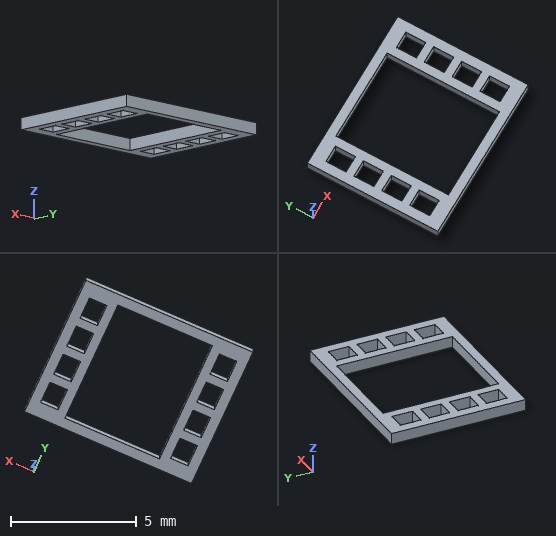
import cadquery as cq

length = 7.28
width = 5.97
thickness = 0.5

edge_margin = 0.42
window_length = 4.105
window_width = width - 2 * edge_margin

opening_side_margin = 0.44
opening_length = 0.75
opening_width = 0.9
opening_pitch = 1.275
openings_per_column = 4
column_spacing = length - 2 * opening_side_margin - opening_length

plate = cq.Workplane("XY").box(length, width, thickness)

window = cq.Workplane("XY").box(window_length, window_width, thickness)

openings = (
    cq.Workplane("XY")
    .rarray(column_spacing, opening_pitch, 2, openings_per_column)
    .rect(opening_length, opening_width)
    .extrude(thickness / 2, both=True)
)

result = plate.cut(window).cut(openings)